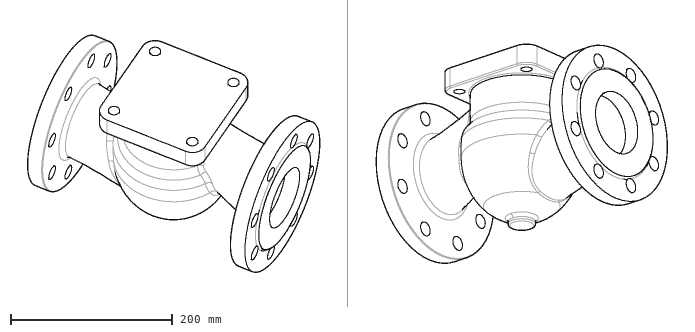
import cadquery as cq
import math

overall_length = 310.0
flange_diameter = 200.0
overall_height = 208.0

raised_face_diameter = 138.0
raised_face_height = 3.0
raised_face_fillet = 2.8
flange_thickness = 20.8
flange_edge_fillet = 1.0
bolt_count = 8
bolt_diameter = 18.0
bolt_circle_diameter = 160.0
bore_diameter = 80.0
bore_depth = 20.0

plate_side = 145.0
plate_thickness = 26.5
plate_corner_radius = 17.7
plate_edge_fillet = 2.0
plate_hole_diameter = 14.0
plate_hole_pitch = 109.5
collar_fillet = 2.0

neck_radius = 64.0
neck_bottom_z = 43.0
body_radius = 75.0
body_top_z = 17.5
bowl_top_z = -4.3
bowl_arc_radius = 91.5
dish_rim_z = -69.8

boss_diameter = 34.0
boss_bottom_z = -95.8
boss_base_fillet = 5.0
boss_edge_fillet = 2.2

body_blend = 7.0
flange_blend = 6.2

inlet_sections = [
    (-136.5, 44.5, -51.0, 50.2),
    (-108.5, 37.0, -54.2, 49.0),
    (-77.5, 20.0, -62.5, 46.8),
    (-37.2, -9.3, -73.8, 42.0),
]
outlet_sections = [
    (136.5, 52.7, -47.5, 49.5),
    (108.5, 60.8, -36.0, 43.7),
    (77.5, 75.0, -20.5, 37.5),
    (43.5, 91.5, -3.0, 30.5),
]

face_x = overall_length / 2
flange_front_x = face_x - raised_face_height
flange_back_x = flange_front_x - flange_thickness
plate_top_z = overall_height - flange_diameter / 2
plate_bottom_z = plate_top_z - plate_thickness
neck_top_z = (plate_bottom_z + plate_top_z) / 2

junction_inner_x = 37.2
junction_outer_x = 93.0
junction_half_width = 55.8
flange_junction_tolerance = 0.3


def make_body():
    """Body of revolution from the bonnet neck down to the dished bottom."""
    half_step = (body_radius - neck_radius) / 2
    half_drop = (neck_bottom_z - body_top_z) / 2
    shoulder_radius = (half_step**2 + half_drop**2) / (2 * half_step)
    shoulder_mid = (neck_radius + half_step, body_top_z + half_drop)

    bowl_centre_r = body_radius - bowl_arc_radius
    bowl_end_angle = math.asin((bowl_top_z - dish_rim_z) / bowl_arc_radius)
    dish_rim_radius = bowl_centre_r + bowl_arc_radius * math.cos(bowl_end_angle)
    dish_radius = dish_rim_radius / math.cos(bowl_end_angle)
    dish_bottom_z = dish_rim_z + dish_radius * math.sin(bowl_end_angle) - dish_radius

    return (
        cq.Workplane("YZ")
        .moveTo(0, neck_top_z)
        .lineTo(neck_radius, neck_top_z)
        .lineTo(neck_radius, neck_bottom_z)
        .radiusArc(shoulder_mid, -shoulder_radius)
        .radiusArc((body_radius, body_top_z), shoulder_radius)
        .lineTo(body_radius, bowl_top_z)
        .radiusArc((dish_rim_radius, dish_rim_z), bowl_arc_radius)
        .radiusArc((0, dish_bottom_z), dish_radius)
        .close()
        .revolve(360, (0, 0, 0), (0, 1, 0))
    )


def add_boss(body):
    """Drain boss with a rounded lower edge and a blended base."""
    boss = (
        cq.Workplane("XY", origin=(0, 0, boss_bottom_z))
        .circle(boss_diameter / 2)
        .extrude(dish_rim_z - boss_bottom_z)
        .faces("<Z")
        .edges()
        .fillet(boss_edge_fillet)
    )
    reach = boss_diameter / 2 + boss_edge_fillet
    base = cq.selectors.BoxSelector(
        (-reach, -reach, boss_bottom_z + 2 * boss_edge_fillet),
        (reach, reach, dish_rim_z),
        boundingbox=True,
    )
    return body.union(boss).edges(base).fillet(boss_base_fillet)


def make_nozzle(sections):
    """Smooth loft through upright oval sections."""
    ovals = []
    for x, top_z, bottom_z, half_width in sections:
        half_height = (top_z - bottom_z) / 2
        oval = (
            cq.Workplane("YZ", origin=(x, 0, bottom_z + half_height))
            .ellipse(half_width, half_height)
        )
        ovals.append(oval.val())
    return cq.Workplane(cq.Solid.makeLoft(ovals))


def make_flange():
    """Outlet flange with its raised face; the inlet flange is its mirror image."""
    radius = flange_diameter / 2
    raised_radius = raised_face_diameter / 2
    fillet_start_x = flange_front_x + raised_face_fillet
    return (
        cq.Workplane("XY")
        .moveTo(flange_back_x, 0)
        .lineTo(flange_back_x, radius - flange_edge_fillet)
        .radiusArc((flange_back_x + flange_edge_fillet, radius), flange_edge_fillet)
        .lineTo(flange_front_x, radius)
        .lineTo(flange_front_x, raised_radius + raised_face_fillet)
        .radiusArc((fillet_start_x, raised_radius), -raised_face_fillet)
        .lineTo(face_x, raised_radius)
        .lineTo(face_x, 0)
        .close()
        .revolve(360, (0, 0, 0), (1, 0, 0))
    )


def make_bonnet_plate():
    """Square plate with rounded corners and four bolt holes."""
    return (
        cq.Workplane("XY", origin=(0, 0, plate_bottom_z))
        .rect(plate_side, plate_side)
        .extrude(plate_thickness)
        .edges("|Z")
        .fillet(plate_corner_radius)
        .faces("<Z")
        .edges()
        .fillet(plate_edge_fillet)
        .faces(">Z")
        .workplane()
        .rect(plate_hole_pitch, plate_hole_pitch, forConstruction=True)
        .vertices()
        .hole(plate_hole_diameter)
    )


def make_collar():
    """Concave ring that blends the neck into the underside of the plate."""
    return (
        cq.Workplane("XZ")
        .moveTo(0, plate_bottom_z - collar_fillet)
        .lineTo(neck_radius, plate_bottom_z - collar_fillet)
        .radiusArc((neck_radius + collar_fillet, plate_bottom_z), collar_fillet)
        .lineTo(0, plate_bottom_z)
        .close()
        .revolve(360, (0, 0, 0), (0, 1, 0))
    )


def blend_junction(part, side, inner_x, outer_x, radius):
    """Round the free-form junction edges between two x distances on one side (-1 or 1)."""
    low_x, high_x = sorted((side * inner_x, side * outer_x))
    box = cq.selectors.BoxSelector(
        (low_x, -junction_half_width, boss_bottom_z),
        (high_x, junction_half_width, plate_top_z),
        boundingbox=True,
    )
    return part.edges(box).filter(lambda edge: edge.geomType() == "BSPLINE").fillet(radius)


def flange_cuts():
    """Bolt holes and blind bore of the outlet flange."""
    first_angle = 180 / bolt_count
    holes = (
        cq.Workplane("YZ", origin=(flange_back_x, 0, 0))
        .polarArray(bolt_circle_diameter / 2, first_angle, 360, bolt_count)
        .circle(bolt_diameter / 2)
        .extrude(flange_thickness + raised_face_height)
    )
    bore = (
        cq.Workplane("YZ", origin=(face_x - bore_depth, 0, 0))
        .circle(bore_diameter / 2)
        .extrude(bore_depth)
    )
    return holes.union(bore)


body = add_boss(make_body())
for side, sections in ((-1, inlet_sections), (1, outlet_sections)):
    body = body.union(make_nozzle(sections))
    body = blend_junction(body, side, junction_inner_x, junction_outer_x, body_blend)

outlet_flange = make_flange()
body = body.union(outlet_flange).union(outlet_flange.mirror("YZ"))
for side in (-1, 1):
    inner_x = flange_back_x - flange_junction_tolerance
    outer_x = flange_back_x + flange_junction_tolerance
    body = blend_junction(body, side, inner_x, outer_x, flange_blend)

body = body.union(make_collar()).union(make_bonnet_plate())
cuts = flange_cuts()
result = body.cut(cuts).cut(cuts.mirror("YZ"))